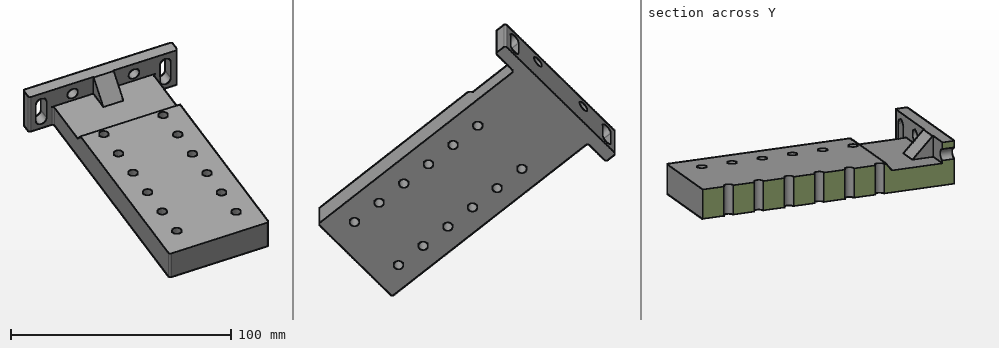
import cadquery as cq

length = 125
plate_width = 75.2
plate_height = 20.8
plate_thickness = 6.0
corner_radius = 1.0

body_width = 50.4
neck_height = 10.8
deck_height = 14.2
ramp_start = 30.9
ramp_end = 33.8

gusset_width = 10.1
gusset_top_end = 6.4
gusset_foot_end = gusset_top_end + plate_height - neck_height

deck_hole_diameter = 4.4
deck_hole_columns = 6
deck_hole_pitch = 15
deck_row_spacing = 30
first_deck_hole = 37.0

plate_hole_diameter = 5.4
plate_hole_spacing = 31.0
plate_hole_height = 14.8
slot_width = 5.4
slot_length = 15
slot_spacing = 62.8
slot_height = 10.1


def make_plate():
    return (
        cq.Workplane("XY")
        .box(plate_thickness, plate_width, plate_height, centered=(False, True, False))
        .edges("|Z")
        .fillet(corner_radius)
    )


def extrude_side_profile(points, width):
    """Extrude an XZ outline symmetrically about the XZ plane."""
    return cq.Workplane("XZ").polyline(points).close().extrude(width / 2, both=True)


def make_body():
    start = plate_thickness / 2
    outline = [
        (start, 0),
        (length, 0),
        (length, deck_height),
        (ramp_end, deck_height),
        (ramp_start, neck_height),
        (start, neck_height),
    ]
    return extrude_side_profile(outline, body_width).edges("|Z and >X").fillet(corner_radius)


def make_gusset():
    start = plate_thickness / 2
    outline = [
        (start, neck_height / 2),
        (gusset_foot_end, neck_height / 2),
        (gusset_foot_end, neck_height),
        (gusset_top_end, plate_height),
        (start, plate_height),
    ]
    return extrude_side_profile(outline, gusset_width)


def round_inner_corners(part):
    """Fillet the two vertical corners where the body sides meet the plate."""
    corner_tolerance = 0.1
    for side in (-1, 1):
        y = side * body_width / 2
        corner = cq.selectors.BoxSelector(
            (plate_thickness - corner_tolerance, y - corner_tolerance, -corner_tolerance),
            (plate_thickness + corner_tolerance, y + corner_tolerance, plate_height),
        )
        part = part.edges("|Z").edges(corner).fillet(corner_radius)
    return part


def make_deck_holes():
    row_center = first_deck_hole + deck_hole_pitch * (deck_hole_columns - 1) / 2
    return (
        cq.Workplane("XY")
        .center(row_center, 0)
        .rarray(deck_hole_pitch, deck_row_spacing, deck_hole_columns, 2)
        .circle(deck_hole_diameter / 2)
        .extrude(deck_height)
    )


def make_plate_openings():
    holes = (
        cq.Workplane("YZ")
        .center(0, plate_hole_height)
        .rarray(plate_hole_spacing, 1.2, 2, 1)
        .circle(plate_hole_diameter / 2)
        .extrude(plate_thickness)
    )
    slots = (
        cq.Workplane("YZ")
        .center(0, slot_height)
        .rarray(slot_spacing, 1.2, 2, 1)
        .slot2D(slot_length, slot_width, 90)
        .extrude(plate_thickness)
    )
    return holes.union(slots)


result = make_plate().union(make_body())
result = round_inner_corners(result)
result = result.union(make_gusset())
result = result.cut(make_deck_holes()).cut(make_plate_openings())